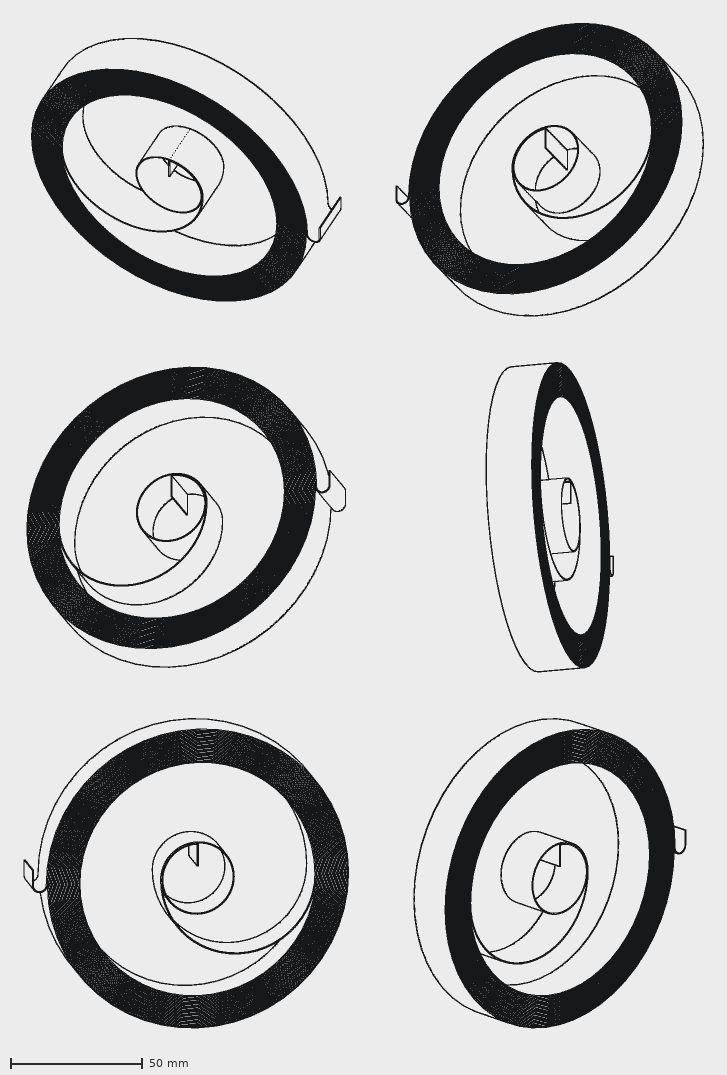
import cadquery as cq
import math


overall_length = 122.5
strip_width = 18.0
strip_thickness = 0.44
turn_gap = 0.0092
pitch = strip_thickness + turn_gap

hook_radius = 2.7
hook_leg_length = 6.0

coil_turns = 28.5
coil_end_radius = (overall_length - strip_thickness - 2 * hook_radius + pitch / 2) / 2
coil_start_radius = coil_end_radius - coil_turns * pitch

hub_radius = 13.7
hub_exit_radius = hub_radius + pitch
tab_length = 8.8

RIGHT, TOP, LEFT, BOTTOM = 0, 90, 180, 270


def arc(start, radius, start_angle, sweep):
    """Centreline arc from a start point; angles in degrees, negative sweep is clockwise."""
    angle = math.radians(start_angle)
    center = (start[0] - radius * math.cos(angle), start[1] - radius * math.sin(angle))
    return center, radius, start_angle, sweep


def arc_point(segment, side, fraction):
    """Point on an arc, moved half a thickness to the left (+1) or right (-1) of travel."""
    (center_x, center_z), radius, start_angle, sweep = segment
    offset_radius = radius - side * math.copysign(strip_thickness / 2, sweep)
    angle = math.radians(start_angle + fraction * sweep)
    return (center_x + offset_radius * math.cos(angle), center_z + offset_radius * math.sin(angle))


def hub_arcs():
    """One full turn of two half circles, then a quarter that overlaps the first turn."""
    start = (0, hub_radius)
    right_half = arc(start, hub_radius, TOP, -180)
    left_radius = (hub_radius + hub_exit_radius) / 2
    left_half = arc(arc_point(right_half, 0, 1), left_radius, BOTTOM, -180)
    exit_quarter = arc(arc_point(left_half, 0, 1), hub_exit_radius, TOP, -90)
    return [right_half, left_half, exit_quarter]


def lead_out_arcs(start):
    """Half circle below the hub, from its right side to the inside of the outer coil."""
    radius = (start[0] + coil_start_radius) / 2
    return [arc(start, radius, RIGHT, -180)]


def coil_arcs(start):
    """Spiral of quarter circles whose radius grows by a quarter pitch each time."""
    arcs = []
    for quarter in range(round(4 * coil_turns)):
        radius = coil_start_radius + (quarter + 0.5) * pitch / 4
        arcs.append(arc(start, radius, LEFT - 90 * quarter, -90))
        start = arc_point(arcs[-1], 0, 1)
    return arcs


def hook_arcs(start):
    """Half circle that turns the strip outward and back up."""
    return [arc(start, hook_radius, LEFT, 180)]


def strip_path():
    path = hub_arcs()
    for next_arcs in (lead_out_arcs, coil_arcs, hook_arcs):
        path += next_arcs(arc_point(path[-1], 0, 1))
    return path


def wound_strip(path):
    """Follow one side of the path outward, round the hook leg and come back on the other side."""
    outline = cq.Workplane("XZ").moveTo(*arc_point(path[0], 1, 0))
    for segment in path:
        outline = outline.threePointArc(arc_point(segment, 1, 0.5), arc_point(segment, 1, 1))
    outline = outline.line(0, hook_leg_length).line(strip_thickness, 0).line(0, -hook_leg_length)
    for segment in reversed(path):
        outline = outline.threePointArc(arc_point(segment, -1, 0.5), arc_point(segment, -1, 0))
    return outline.close().extrude(strip_width / 2, both=True)


def inner_tab():
    """Straight strip end that points from the hub start towards the axis."""
    tab = cq.Workplane("XY").box(strip_thickness, strip_width, tab_length)
    return tab.translate((0, 0, hub_radius - tab_length / 2))


result = wound_strip(strip_path()).union(inner_tab())